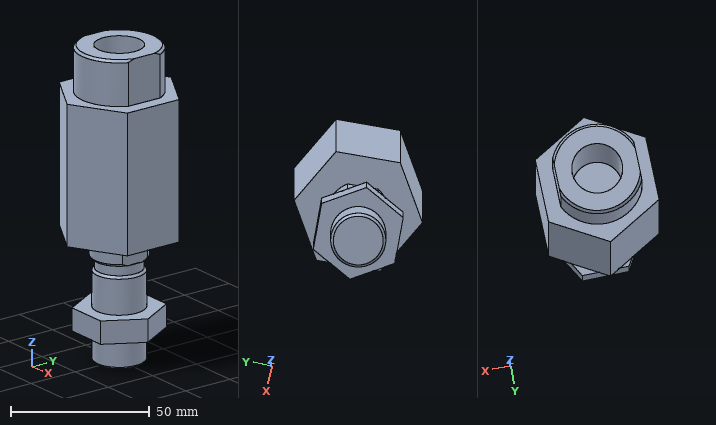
import cadquery as cq
import math

total_height = 122.0
nut_bottom = 12.1
nut_height = 9.0
thread_top = 36.0
neck_top = 40.0
body_bottom = 49.0
body_top = 104.2

thread_diameter = 20.0
thread_chamfer = 1.0
neck_diameter = 18.0
shank_diameter = 22.0
shank_flats = 18.9
shank_chamfer = 1.0

body_flats = 41.0
nut_flats = 30.0

collar_diameter = 33.3
collar_flats = 30.0
collar_chamfer = 1.0
socket_diameter = 18.4
socket_depth = 30.0


def cylinder(diameter, bottom, top):
    return cq.Workplane("XY").workplane(offset=bottom).circle(diameter / 2).extrude(top - bottom)


def hexagon(across_flats, bottom, top):
    """Hexagonal prism with two corners on the X axis."""
    across_corners = across_flats / math.cos(math.radians(30))
    return cq.Workplane("XY").workplane(offset=bottom).polygon(6, across_corners).extrude(top - bottom)


def cut_flats(solid, across_flats, bottom, top):
    """Keep the part of a round section between two flats facing -X and +X."""
    depth = solid.val().BoundingBox().ylen
    height = top - bottom
    slab = cq.Workplane("XY").box(across_flats, depth, height)
    return solid.intersect(slab.translate((0, 0, bottom + height / 2)))


thread = cylinder(thread_diameter, 0, thread_top).faces("<Z or >Z").chamfer(thread_chamfer)
neck = cylinder(neck_diameter, thread_top - thread_chamfer, neck_top)
nut = hexagon(nut_flats, nut_bottom, nut_bottom + nut_height)

shank = cylinder(shank_diameter, neck_top, body_bottom).faces("<Z").chamfer(shank_chamfer)
shank = cut_flats(shank, shank_flats, neck_top, body_bottom)

body = hexagon(body_flats, body_bottom, body_top).rotate((0, 0, 0), (0, 0, 1), 30)

collar = cylinder(collar_diameter, body_top, total_height).faces(">Z").chamfer(collar_chamfer)
collar = cut_flats(collar, collar_flats, body_top, total_height)

socket = cylinder(socket_diameter, total_height - socket_depth, total_height)

result = thread.union(neck).union(nut).union(shank).union(body).union(collar).cut(socket)